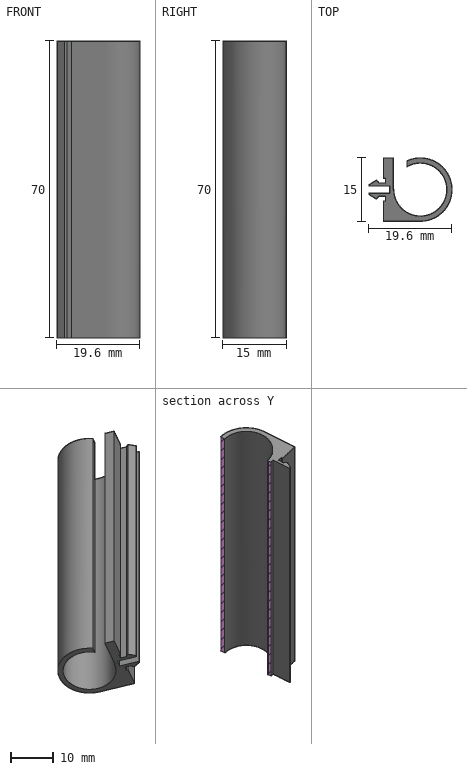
import cadquery as cq
import math

length = 70.0
ring_radius = 7.5
bore_radius = 6.2
ring_end_x = -3.15

wall_back_x = -8.7
wall_thickness = 2.3
wall_front_x = wall_back_x + wall_thickness

arm_end_x = -12.05
arm_outer_y = 1.6
slot_half_width = 0.85
slot_floor_x = -7.2
barb_end_y = 1.2
barb_peak_x = -10.35
barb_peak_y = 2.25
barb_base_x = -9.7

notch_depth = 0.4
notch_outer_y = 2.65
notch_floor_x = wall_back_x + notch_depth


def upper_barb():
    """Points of the upper arm and notch, from the slot floor out to the wall."""
    return [
        (slot_floor_x, slot_half_width),
        (arm_end_x, slot_half_width),
        (arm_end_x, barb_end_y),
        (barb_peak_x, barb_peak_y),
        (barb_base_x, arm_outer_y),
        (notch_floor_x, arm_outer_y),
        (notch_floor_x, notch_outer_y),
        (wall_back_x, notch_outer_y),
    ]


def ring_end_y(radius):
    """Height at which a circle about the ring axis meets the ring end face."""
    return math.sqrt(radius**2 - ring_end_x**2)


def clip_profile():
    """Closed outline of the wall, the barbed arms and the open ring."""
    upper = upper_barb()
    lower = [(x, -y) for x, y in reversed(upper)]
    diagonal = math.sqrt(0.5)

    outline = cq.Workplane("XY").moveTo(0, -ring_radius)
    outline = outline.lineTo(wall_back_x, -ring_radius)
    for point in lower + upper:
        outline = outline.lineTo(*point)
    return (
        outline.lineTo(wall_back_x, ring_radius)
        .lineTo(wall_front_x, ring_radius)
        .lineTo(wall_front_x, 0)
        .lineTo(-bore_radius, 0)
        .threePointArc(
            (bore_radius * diagonal, -bore_radius * diagonal),
            (ring_end_x, ring_end_y(bore_radius)),
        )
        .lineTo(ring_end_x, ring_end_y(ring_radius))
        .threePointArc((ring_radius, 0), (0, -ring_radius))
        .close()
    )


result = clip_profile().extrude(length)